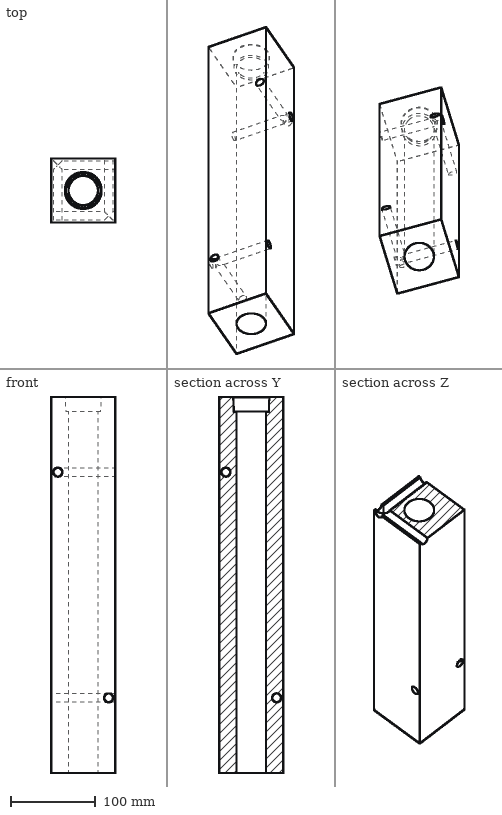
import cadquery as cq

side = 76.0
length = 444.5
edge_chamfer = 0.2

bore_diameter = 34.5
socket_mouth_diameter = 42.2
socket_floor_diameter = 41.0
socket_depth = 17.5
mouth_chamfer_diameter = 43.5

cross_hole_diameter = 10.2
cross_hole_edge_offset = 8.0
cross_hole_end_offset = 89.0

cross_hole_shift = side / 2 - cross_hole_edge_offset
upper_hole_z = length - cross_hole_end_offset
lower_hole_z = cross_hole_end_offset


def make_bar():
    return cq.Workplane("XY").rect(side, side).extrude(length).edges().chamfer(edge_chamfer)


def stepped_bore():
    """Revolved cutter: through bore, tapered socket and 45 degree mouth chamfer."""
    bore_radius = bore_diameter / 2
    mouth_radius = socket_mouth_diameter / 2
    chamfer_radius = mouth_chamfer_diameter / 2
    chamfer_depth = chamfer_radius - mouth_radius
    floor_z = length - socket_depth
    return (
        cq.Workplane("XZ")
        .lineTo(bore_radius, 0)
        .lineTo(bore_radius, floor_z)
        .lineTo(socket_floor_diameter / 2, floor_z)
        .lineTo(mouth_radius, length - chamfer_depth)
        .lineTo(chamfer_radius, length)
        .lineTo(0, length)
        .close()
        .revolve(360, (0, 0), (0, 1))
    )


def cross_holes(plane, centres):
    """Cylinders that pass right through the bar, normal to the given plane."""
    return cq.Workplane(plane).pushPoints(centres).circle(cross_hole_diameter / 2).extrude(side / 2, both=True)


body = make_bar().cut(stepped_bore())

body = body.cut(cross_holes("XZ", [(-cross_hole_shift, upper_hole_z), (cross_hole_shift, lower_hole_z)]))

body = body.cut(cross_holes("YZ", [(cross_hole_shift, upper_hole_z), (-cross_hole_shift, lower_hole_z)]))

result = body